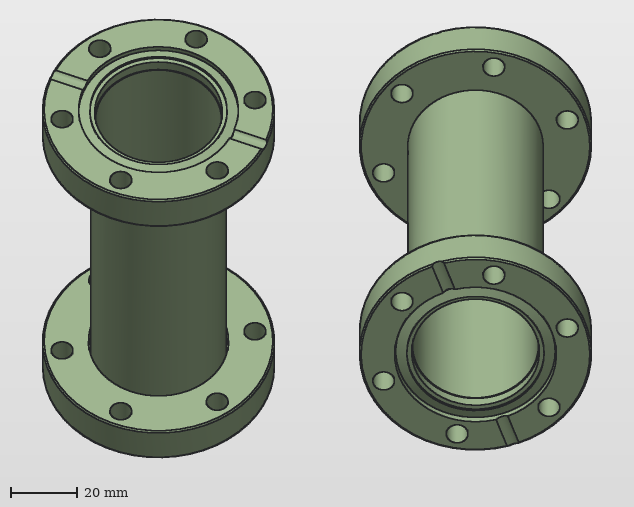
import cadquery as cq

length = 126.0
flange_diameter = 70.0
flange_thickness = 13.0
edge_chamfer = 0.5

tube_outer_diameter = 41.0
tube_inner_diameter = 38.0

bolt_count = 6
bolt_circle_diameter = 58.7
bolt_hole_diameter = 6.5
first_bolt_angle = 30.0

recess_diameter = 48.3
recess_depth = 1.8
knife_diameter = 41.5
knife_depth = 0.5
knife_floor_depth = 1.3
port_diameter = 38.5
tube_end_depth = 4.9

groove_width = 3.8
groove_depth = 0.9

ring_bore_diameter = 42.3
ring_seat_diameter = 48.9
insert_diameter = 48.1
insert_back_depth = 7.8


def cylinder(diameter, bottom, top):
    return cq.Workplane("XY").workplane(offset=bottom).circle(diameter / 2).extrude(top - bottom)


def flange_blank():
    """Chamfered disc with bolt holes; its outer face is at Z = 0 and it extends to -Z."""
    blank = cylinder(flange_diameter, -flange_thickness, 0).edges().chamfer(edge_chamfer)
    bolt_holes = (
        cq.Workplane("XY")
        .polarArray(bolt_circle_diameter / 2, first_bolt_angle, 360, bolt_count)
        .circle(bolt_hole_diameter / 2)
        .extrude(-flange_thickness)
    )
    return blank.cut(bolt_holes)


def leak_groove():
    """Shallow round-bottomed cutter along X, sunk into the outer face."""
    radius = ((groove_width / 2) ** 2 + groove_depth ** 2) / (2 * groove_depth)
    return (
        cq.Workplane("YZ")
        .center(0, radius - groove_depth)
        .circle(radius)
        .extrude(flange_diameter / 2, both=True)
    )


def sealing_body(outer_diameter, back_depth):
    """Turned ring with a knife edge in front, a port, and a tube socket behind."""
    outer_radius = outer_diameter / 2
    knife_radius = knife_diameter / 2
    port_radius = port_diameter / 2
    socket_radius = tube_outer_diameter / 2
    profile = [
        (outer_radius, -recess_depth),
        (knife_radius, -knife_depth),
        (knife_radius, -knife_floor_depth),
        (port_radius, -knife_floor_depth),
        (port_radius, -tube_end_depth),
        (socket_radius, -tube_end_depth),
        (socket_radius, -back_depth),
        (outer_radius, -back_depth),
    ]
    return cq.Workplane("XZ").polyline(profile).close().revolve(360, (0, 0), (0, 1))


def make_fixed_flange():
    core = sealing_body(recess_diameter, flange_thickness)
    rim = flange_blank().cut(leak_groove()).cut(cylinder(recess_diameter, -flange_thickness, 0))
    return rim.union(core).translate((0, 0, length))


def turn_to_bottom(body):
    """Turn a body over so that its outer face points to -Z at Z = 0."""
    return body.rotate((0, 0, 0), (1, 0, 0), 180)


def make_rotatable_ring():
    ring = (
        flange_blank()
        .cut(leak_groove())
        .cut(cylinder(ring_bore_diameter, -flange_thickness, 0))
        .cut(cylinder(ring_seat_diameter, -insert_back_depth, 0))
    )
    return turn_to_bottom(ring)


def make_insert():
    return turn_to_bottom(sealing_body(insert_diameter, insert_back_depth))


def make_tube():
    outside = cylinder(tube_outer_diameter, tube_end_depth, length - tube_end_depth)
    return outside.cut(cylinder(tube_inner_diameter, 0, length))


fixed_flange = make_fixed_flange()
rotatable_ring = make_rotatable_ring()
insert = make_insert()
tube = make_tube()

result = cq.Compound.makeCompound(
    [body.solids().val() for body in (fixed_flange, rotatable_ring, insert, tube)]
)